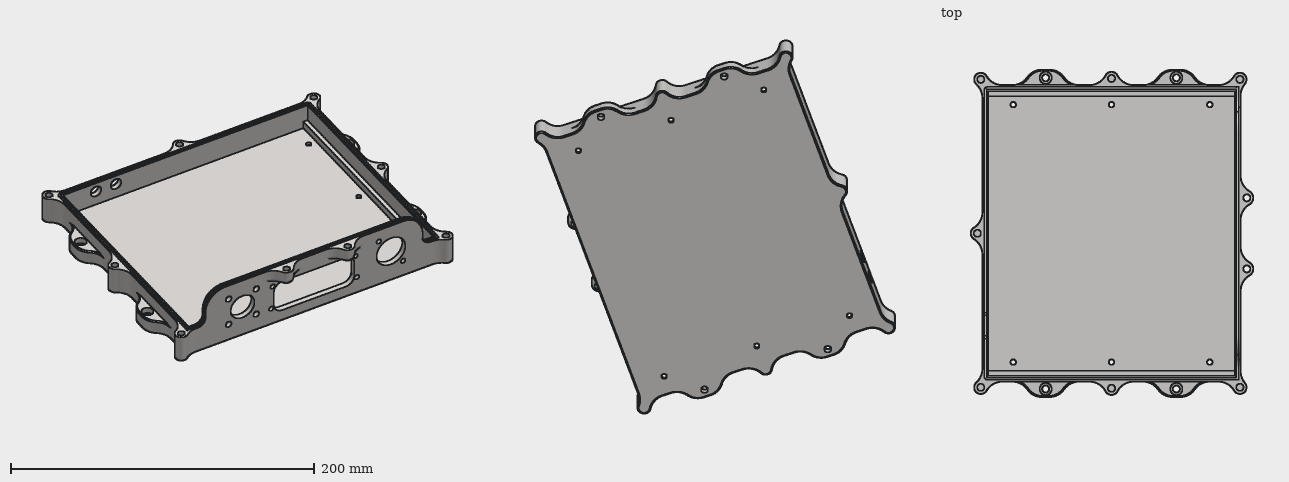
import cadquery as cq
import math

tray_length_x = 170.5
tray_length_y = 195.7
rim_height = 20.3
wall_thickness = 4.0
floor_thickness = 2.4
edge_chamfer = 0.9
half_x = tray_length_x / 2
half_y = tray_length_y / 2
inside_x = half_x - wall_thickness
inside_y = half_y - wall_thickness

ledge_width = 3.2
ledge_height = 5.5

groove_lip = 1.3
groove_width = 1.5
groove_depth = 3.0
groove_corner_radius = 2.2

lug_radius = 4.43
flare_radius = 11.9
web_embed = 2.2
left_lug_x = -92.9 + lug_radius
middle_lug_y = 102.2
corner_lug_y = 101.5
corner_lug_x_left = -86.2
corner_lug_x_right = 84.7
lug_hole_diameter = 4.8
lug_hole_depth = 13.0

ear_positions_x = (-43.5, 42.8)
ear_tip_y = 108.0
ear_height = 10.5
ear_flat_half = 2.4
ear_arc_radius = 11.9
ear_hole_y = 102.5
ear_hole_diameter = 4.5
ear_counterbore_diameter = 8.0
ear_counterbore_depth = 4.3

panel_top = 46.2
panel_half_width = 83.2
panel_corner_radius = 15.1
panel_foot_radius = 6.3
tab_tip_x = 93.5
tab_radius = 5.0
tab_hole_x = 89.2
tab_spacing = 46.9
tab_height = 10.8
tab_fillet = 3.9
tab_hole_diameter = 4.5

window_width = 61.5
window_height = 24.2
window_corner_radius = 6.5
window_center_z = 21.2
window_screw_diameter = 3.5
upper_window_screw_y = 31.8
upper_window_screw_z = 31.8
lower_window_screw_y = 32.8
lower_window_screw_z = 13.5
large_port_diameter = 22.0
large_port_y = 59.0
large_port_z = 24.8
large_port_screw_diameter = 3.5
large_port_screw_y = 9.3
large_port_screw_z = 11.9
small_port_diameter = 18.1
small_port_y = -54.9
small_port_z = 24.2
small_port_screw_diameter = 4.3
small_port_screw_offset = 10.5

cable_hole_diameter = 8.0
cable_hole_positions_y = (-53.1, -68.5)
cable_hole_z = 13.5
floor_hole_diameter = 3.5
floor_hole_spacing_x = 64.8
floor_hole_y = 84.9


def cylinder(x, y, diameter, bottom, top):
    """Upright cylinder between two heights."""
    return cq.Workplane("XY", origin=(x, y, bottom)).circle(diameter / 2).extrude(top - bottom)


def cross_hole(x, y, z, diameter, length):
    """Cylinder along +X that starts at the given point."""
    return cq.Workplane("YZ", origin=(x, y, z)).circle(diameter / 2).extrude(length)


def web(radius, stand_off, side, height):
    """Flared web between a lug at the local origin and a wall at local Y = -stand_off.

    The flare is an arc tangent to the wall and to the lug; side picks the +X or -X half.
    """
    wall = -stand_off
    reach = flare_radius + radius
    foot_x = math.sqrt(reach**2 - (flare_radius - stand_off) ** 2)
    arc_center_y = wall + flare_radius
    touch_x = foot_x * radius / reach
    touch_y = arc_center_y * radius / reach
    start_angle = math.atan2(touch_y - arc_center_y, touch_x - foot_x) % (2 * math.pi)
    middle_angle = (start_angle + 1.5 * math.pi) / 2
    middle_x = foot_x + flare_radius * math.cos(middle_angle)
    middle_y = arc_center_y + flare_radius * math.sin(middle_angle)
    return (
        cq.Workplane("XY")
        .moveTo(0, wall - web_embed)
        .lineTo(0, 0)
        .lineTo(side * touch_x, touch_y)
        .threePointArc((side * middle_x, middle_y), (side * foot_x, wall))
        .lineTo(side * foot_x, wall - web_embed)
        .close()
        .extrude(height)
    )


def wall_lug(x, y, turn, radius, stand_off, height):
    """Lug with a web on both sides; at turn 0 it points toward +Y."""
    lug = cylinder(0, 0, 2 * radius, 0, height)
    for side in (-1, 1):
        lug = lug.union(web(radius, stand_off, side, height))
    return lug.rotate((0, 0, 0), (0, 0, 1), turn).translate((x, y, 0))


def corner_lug(x, side_x, side_y):
    """Lug at a tray corner with one web along each of the two walls."""
    x_wall_web = web(lug_radius, side_x * x - half_x, side_x * side_y, rim_height)
    x_wall_web = x_wall_web.rotate((0, 0, 0), (0, 0, 1), -90 * side_x)
    y_wall_web = web(lug_radius, corner_lug_y - half_y, -side_x * side_y, rim_height)
    y_wall_web = y_wall_web.rotate((0, 0, 0), (0, 0, 1), 90 - 90 * side_y)
    lug = cylinder(0, 0, 2 * lug_radius, 0, rim_height).union(x_wall_web).union(y_wall_web)
    return lug.translate((x, side_y * corner_lug_y, 0))


def ear(x, side_y):
    """Low ear with a flat tip and an S-shaped flank of two equal arcs on each side."""
    rise = ear_tip_y - half_y
    turn = math.acos(1 - rise / (2 * ear_arc_radius))
    arc_x = ear_arc_radius * math.sin(turn)
    mid_x = ear_arc_radius * math.sin(turn / 2)
    mid_y = ear_arc_radius * (1 - math.cos(turn / 2))
    foot_x = ear_flat_half + 2 * arc_x
    join = (ear_flat_half + arc_x, half_y + rise / 2)
    upper_mid = (ear_flat_half + mid_x, ear_tip_y - mid_y)
    lower_mid = (foot_x - mid_x, half_y + mid_y)
    outline = (
        cq.Workplane("XY")
        .moveTo(-ear_flat_half, ear_tip_y)
        .lineTo(ear_flat_half, ear_tip_y)
        .threePointArc(upper_mid, join)
        .threePointArc(lower_mid, (foot_x, half_y))
        .lineTo(foot_x, half_y - web_embed)
        .lineTo(-foot_x, half_y - web_embed)
        .lineTo(-foot_x, half_y)
        .threePointArc((-lower_mid[0], lower_mid[1]), (-join[0], join[1]))
        .threePointArc((-upper_mid[0], upper_mid[1]), (-ear_flat_half, ear_tip_y))
        .close()
    )
    free_edges = cq.selectors.BoxSelector(
        (-ear_tip_y, half_y + edge_chamfer / 2, ear_height / 2),
        (ear_tip_y, ear_tip_y + edge_chamfer, ear_height + edge_chamfer),
    )
    solid = outline.extrude(ear_height).faces(">Z").edges(free_edges).chamfer(edge_chamfer)
    return solid.rotate((0, 0, 0), (0, 0, 1), 90 - 90 * side_y).translate((x, 0, 0))


def panel_plate(inset, x_start, thickness):
    """Plate in the shape of the connector panel and its wall, shrunk inward by inset."""
    width = panel_half_width - inset
    top = panel_top - inset
    rim = rim_height - inset
    corner = panel_corner_radius - inset
    foot = panel_foot_radius + inset
    bow = 1 - math.sqrt(0.5)
    end = half_y - groove_lip
    return (
        cq.Workplane("YZ", origin=(x_start, 0, 0))
        .moveTo(-end, floor_thickness)
        .lineTo(-end, rim)
        .lineTo(-width - foot, rim)
        .threePointArc((-width - foot * bow, rim + foot * bow), (-width, rim + foot))
        .lineTo(-width, top - corner)
        .threePointArc((-width + corner * bow, top - corner * bow), (-width + corner, top))
        .lineTo(width - corner, top)
        .threePointArc((width - corner * bow, top - corner * bow), (width, top - corner))
        .lineTo(width, rim + foot)
        .threePointArc((width + foot * bow, rim + foot * bow), (width + foot, rim))
        .lineTo(end, rim)
        .lineTo(end, floor_thickness)
        .close()
        .extrude(thickness)
    )


def rounded_block(margin, bottom, top):
    """Block set inside the tray outline by margin, with rounded upright edges."""
    block = cq.Workplane("XY", origin=(0, 0, bottom))
    block = block.rect(tray_length_x - 2 * margin, tray_length_y - 2 * margin).extrude(top - bottom)
    radius = groove_corner_radius + groove_lip - margin
    return block.edges("|Z").fillet(radius) if radius > 0 else block


corner_lugs = [
    (x, side_x, side_y)
    for x, side_x in ((corner_lug_x_left, -1), (corner_lug_x_right, 1))
    for side_y in (-1, 1)
]
ears = [(x, side_y) for x in ear_positions_x for side_y in (-1, 1)]
tab_positions_y = (-tab_spacing / 2, tab_spacing / 2)
tab_center_x = tab_tip_x - tab_radius

body = cq.Workplane("XY").box(tray_length_x, tray_length_y, rim_height, centered=(True, True, False))
for corner in corner_lugs:
    body = body.union(corner_lug(*corner))
body = body.union(wall_lug(0, middle_lug_y, 0, lug_radius, middle_lug_y - half_y, rim_height))
body = body.union(wall_lug(0, -middle_lug_y, 180, lug_radius, middle_lug_y - half_y, rim_height))
body = body.union(wall_lug(left_lug_x, 0, 90, lug_radius, -left_lug_x - half_x, rim_height))
for position in ears:
    body = body.union(ear(*position))
body = body.faces("<Z").chamfer(edge_chamfer)

cavity_height = rim_height - floor_thickness
cavity = cq.Workplane("XY").box(2 * inside_x, 2 * inside_y, cavity_height, centered=(True, True, False))
for side_y in (-1, 1):
    ledge = cq.Workplane("XY").box(2 * inside_x, ledge_width, ledge_height, centered=(True, True, False))
    cavity = cavity.cut(ledge.translate((0, side_y * (inside_y - ledge_width / 2), 0)))
body = body.cut(cavity.translate((0, 0, floor_thickness)))

body = body.union(panel_plate(0, inside_x, wall_thickness))

for y in tab_positions_y:
    tab = wall_lug(tab_center_x, y, -90, tab_radius, tab_center_x - half_x, tab_height)
    tab = tab.faces("<Z").edges("%CIRCLE").fillet(tab_fillet)
    body = body.union(tab.translate((0, 0, panel_top - tab_height)))
    body = body.cut(cylinder(tab_hole_x, y, tab_hole_diameter, panel_top - tab_height, panel_top))

groove_bottom = rim_height - groove_depth
groove = rounded_block(groove_lip, groove_bottom, rim_height)
groove = groove.cut(rounded_block(groove_lip + groove_width, groove_bottom, rim_height))
groove_x = half_x - groove_lip - groove_width
panel_core = panel_plate(groove_depth, groove_x, groove_width)
groove = groove.union(panel_plate(0, groove_x, groove_width)).cut(panel_core)
body = body.cut(groove)

lug_centers = [(x, side_y * corner_lug_y) for x, side_x, side_y in corner_lugs]
lug_centers += [(0, middle_lug_y), (0, -middle_lug_y), (left_lug_x, 0)]
for x, y in lug_centers:
    body = body.cut(cylinder(x, y, lug_hole_diameter, rim_height - lug_hole_depth, rim_height))

for x, side_y in ears:
    y = side_y * ear_hole_y
    body = body.cut(cylinder(x, y, ear_hole_diameter, 0, ear_height))
    counterbore_bottom = ear_height - ear_counterbore_depth
    body = body.cut(cylinder(x, y, ear_counterbore_diameter, counterbore_bottom, ear_height))

for x in (-floor_hole_spacing_x, 0, floor_hole_spacing_x):
    for y in (-floor_hole_y, floor_hole_y):
        body = body.cut(cylinder(x, y, floor_hole_diameter, 0, floor_thickness))

window = cq.Workplane("YZ", origin=(inside_x, 0, window_center_z))
window = window.rect(window_width, window_height).extrude(wall_thickness)
body = body.cut(window.edges("|X").fillet(window_corner_radius))
panel_holes = [
    (large_port_y, large_port_z, large_port_diameter),
    (small_port_y, small_port_z, small_port_diameter),
]
for side in (-1, 1):
    diagonal_y = large_port_y - side * large_port_screw_y
    diagonal_z = large_port_z + side * large_port_screw_z
    panel_holes.append((diagonal_y, diagonal_z, large_port_screw_diameter))
    panel_holes.append((side * upper_window_screw_y, upper_window_screw_z, window_screw_diameter))
    panel_holes.append((side * lower_window_screw_y, lower_window_screw_z, window_screw_diameter))
    for side_z in (-1, 1):
        screw_y = small_port_y + side * small_port_screw_offset
        screw_z = small_port_z + side_z * small_port_screw_offset
        panel_holes.append((screw_y, screw_z, small_port_screw_diameter))
for y, z, diameter in panel_holes:
    body = body.cut(cross_hole(inside_x, y, z, diameter, wall_thickness))

for y in cable_hole_positions_y:
    body = body.cut(cross_hole(-half_x, y, cable_hole_z, cable_hole_diameter, wall_thickness))

result = body